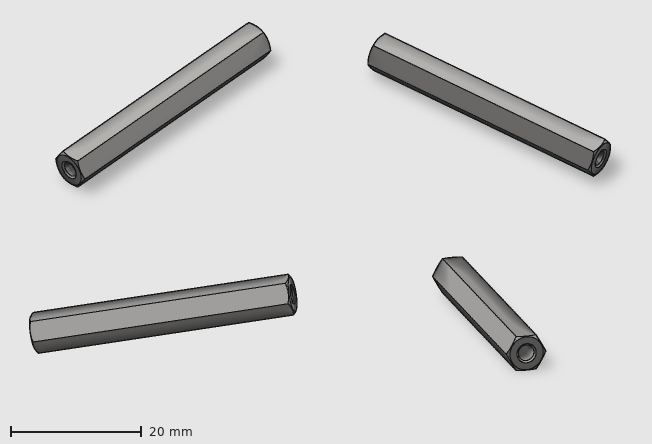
import cadquery as cq
import math

length = 41.0
across_flats = 5.5
across_corners = across_flats / math.cos(math.radians(30))

end_face_radius = 5.3 / 2
corner_chamfer_angle = 30.0

bore_radius = 2.5 / 2
mouth_radius = 3.08 / 2
bore_depth = 10.0
drill_point_angle = 120.0

half_length = length / 2
corner_radius = across_corners / 2
chamfer_height = (corner_radius - end_face_radius) * math.tan(math.radians(corner_chamfer_angle))
mouth_depth = mouth_radius - bore_radius
drill_point_height = bore_radius / math.tan(math.radians(drill_point_angle / 2))


def revolve_about_y(profile_points):
    """Solid of revolution about Y from (radius, y) points."""
    profile = cq.Workplane("XY").polyline(profile_points).close()
    return profile.revolve(360, (0, 0, 0), (0, 1, 0))


def hexagonal_bar():
    """Bar with two corners on the X axis and flats facing +Z and -Z."""
    return cq.Workplane("XZ").polygon(6, across_corners).extrude(half_length, both=True)


def chamfer_envelope():
    """Round envelope whose tapered ends trim the hexagon corners."""
    chamfer_start = half_length - chamfer_height
    return revolve_about_y([
        (0, -half_length),
        (end_face_radius, -half_length),
        (corner_radius, -chamfer_start),
        (corner_radius, chamfer_start),
        (end_face_radius, half_length),
        (0, half_length),
    ])


def blind_hole():
    """Hole entering from the -Y end face."""
    mouth = -half_length
    bore_end = mouth + bore_depth
    return revolve_about_y([
        (0, mouth),
        (mouth_radius, mouth),
        (bore_radius, mouth + mouth_depth),
        (bore_radius, bore_end),
        (0, bore_end + drill_point_height),
    ])


result = hexagonal_bar().intersect(chamfer_envelope())
near_hole = blind_hole()
far_hole = near_hole.mirror("XZ")
result = result.cut(near_hole).cut(far_hole)